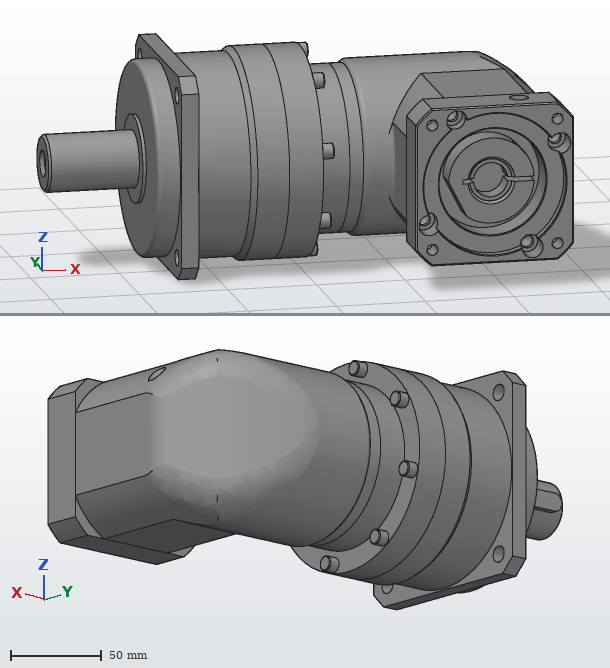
import cadquery as cq
import math


SHAFT_RADIUS = 16.0
SHAFT_CHAMFER = 1.5
SEAL_X = 51.0
SEAL_RADIUS = 24.7
PILOT_X = 53.0
PILOT_RADIUS = 55.0
PILOT_FILLET = 2.5
FLANGE_X = 65.5
FLANGE_THICKNESS = 9.7
FLANGE_WIDTH = 115.3
FLANGE_CHAMFER = 8.3
FLANGE_HOLE_PITCH = 92.0
FLANGE_HOLE_DIAMETER = 9.1
BODY_RADIUS = 56.8
RING_RADIUS = 59.3
RING_TAPER_X = 104.7
RING_TAPER_LENGTH = 3.3
KEY_START_X = 4.7
KEY_LENGTH = 40.7
KEY_WIDTH = 10.3
KEY_TOP = 19.5
CENTRE_HOLE_RADIUS = 5.3
CENTRE_SINK_RADIUS = 7.5
CENTRE_HOLE_DEPTH = 19.5
DRILL_POINT_ANGLE = 118

RING_SPLIT_X = 126.0
RING_END_X = 145.2
NECK_RADIUS = 46.8
NECK_SPLIT_X = 163.0
SCREW_COUNT = 8
SCREW_CIRCLE_RADIUS = 54.5
SCREW_FIRST_ANGLE = 32.5
SCREW_HEAD_RADIUS = 4.3
SCREW_HEAD_HEIGHT = 6.7
SCREW_HEAD_CHAMFER = 0.5

INPUT_X = 232.5
INPUT_HALF_WIDTH = 44.5
ELBOW_RADIUS = 49.0
ELBOW_START_X = 174.3
SHOULDER_FILLET = 4.2
LEG_RADIUS = 50.5
LEG_END_Y = -78.0
CAP_DISTANCE = 30.0
CAP_RADIUS = 133.0
CAP_SHIFT = 2.0
CAP_FILLET = 19.5
JUNCTION_FILLET = 2.5
DIMPLE_RADIUS = 4.7
DIMPLE_OFFSET = 34.4
DIMPLE_Y = -21.5

ADAPTER_END_Y = -101.5
ADAPTER_CORNER_RADIUS = 57.0
ADAPTER_CHAMFER = 0.8
MOTOR_PILOT_RADIUS = 40.2
MOTOR_PILOT_DEPTH = 5.8
ADAPTER_BORE_RADIUS = 30.2
RIM_CHAMFER = 0.5
MOTOR_HOLE_PITCH = 70.7
MOTOR_HOLE_RADIUS = 3.0
MOTOR_HOLE_DEPTH = 13.9
BOLT_COUNT = 4
BOLT_CIRCLE_RADIUS = 42.7
BOLT_FIRST_ANGLE = 30
BOLT_SINK_RADIUS = 5.8
BOLT_SINK_DEPTH = 13.9
SOCKET_RADIUS = 3.5
SOCKET_DEPTH = 3.3
ACCESS_OFFSET = 17.0
ACCESS_Y = -86.2
ACCESS_RADIUS = 5.3

HUB_RADIUS = 24.0
HUB_FACE_Y = -92.5
HUB_BORE_RADIUS = 9.7
HUB_BORE_DEPTH = 13.9
HUB_STEP_RADIUS = 12.0
HUB_STEP_DEPTH = 2.0
HUB_STEP_CHAMFER = 1.5
HUB_NOTCH_END = 16.0
HUB_SLIT_WIDTH = 2.5
HUB_FLAT_DISTANCE = 21.3
HUB_FLAT_ANGLE = 207
CLAMP_SOCKET_RADIUS = 3.5
CLAMP_SOCKET_HEIGHT = 8.3


def x_cylinder(radius, start, end):
    """Cylinder on the output axis between two X positions."""
    return cq.Workplane("YZ", origin=(start, 0, 0)).circle(radius).extrude(end - start)


def y_cylinder(radius, start, end, offset=0, height=0):
    """Cylinder parallel to the input axis, from Y = start down to Y = end."""
    origin = (INPUT_X + offset, start, height)
    return cq.Workplane("XZ", origin=origin).circle(radius).extrude(start - end)


def input_square(corner_radius, start, end):
    """Square block on the input axis with its corners rounded about that axis."""
    block = (
        cq.Workplane("XZ", origin=(INPUT_X, start, 0))
        .rect(2 * INPUT_HALF_WIDTH, 2 * INPUT_HALF_WIDTH)
        .extrude(start - end)
    )
    return block.intersect(y_cylinder(corner_radius, start, end))


def drilled_hole(radius, depth, mouth, direction):
    """Cutter for a blind hole with a conical drill point beyond its full-width depth."""
    along = cq.Vector(*direction)
    point = radius / math.tan(math.radians(DRILL_POINT_ANGLE / 2))
    barrel = cq.Solid.makeCylinder(radius, depth, cq.Vector(*mouth), along)
    tip = cq.Solid.makeCone(radius, 0, point, cq.Vector(*mouth) + along * depth, along)
    return cq.Workplane("XY").add(barrel).union(cq.Workplane("XY").add(tip))


def make_flange():
    return (
        cq.Workplane("YZ", origin=(FLANGE_X, 0, 0))
        .rect(FLANGE_WIDTH, FLANGE_WIDTH)
        .extrude(FLANGE_THICKNESS)
        .edges("|X")
        .chamfer(FLANGE_CHAMFER)
        .faces("<X")
        .workplane()
        .rect(FLANGE_HOLE_PITCH, FLANGE_HOLE_PITCH, forConstruction=True)
        .vertices()
        .hole(FLANGE_HOLE_DIAMETER)
    )


def make_key():
    return (
        cq.Workplane("XZ", origin=(KEY_START_X + KEY_LENGTH / 2, 0, 0))
        .slot2D(KEY_LENGTH, KEY_WIDTH)
        .extrude(-KEY_TOP)
    )


def make_centre_hole():
    sink = cq.Workplane("XY").add(cq.Solid.makeCone(
        CENTRE_SINK_RADIUS,
        CENTRE_HOLE_RADIUS,
        CENTRE_SINK_RADIUS - CENTRE_HOLE_RADIUS,
        dir=cq.Vector(1, 0, 0),
    ))
    return sink.union(drilled_hole(CENTRE_HOLE_RADIUS, CENTRE_HOLE_DEPTH, (0, 0, 0), (1, 0, 0)))


def make_output_stage():
    shaft = x_cylinder(SHAFT_RADIUS, 0, SEAL_X).faces("<X").chamfer(SHAFT_CHAMFER)
    seal = x_cylinder(SEAL_RADIUS, SEAL_X, PILOT_X)
    pilot = x_cylinder(PILOT_RADIUS, PILOT_X, FLANGE_X).faces("<X").edges().fillet(PILOT_FILLET)
    taper_end = RING_TAPER_X + RING_TAPER_LENGTH
    body = (
        cq.Workplane("XY")
        .polyline([
            (FLANGE_X, 0),
            (FLANGE_X, PILOT_RADIUS),
            (FLANGE_X + FLANGE_THICKNESS, PILOT_RADIUS),
            (FLANGE_X + FLANGE_THICKNESS, BODY_RADIUS),
            (RING_TAPER_X, BODY_RADIUS),
            (taper_end, RING_RADIUS),
            (RING_SPLIT_X, RING_RADIUS),
            (RING_SPLIT_X, 0),
        ])
        .close()
        .revolve(360, (0, 0, 0), (1, 0, 0))
    )
    stage = body.union(make_flange()).union(pilot).union(seal).union(shaft).union(make_key())
    return stage.cut(make_centre_hole())


def make_intermediate_ring():
    ring = x_cylinder(RING_RADIUS, RING_SPLIT_X, RING_END_X)
    ring = ring.union(x_cylinder(NECK_RADIUS, RING_END_X, NECK_SPLIT_X))
    heads = (
        cq.Workplane("YZ", origin=(RING_END_X, 0, 0))
        .polarArray(SCREW_CIRCLE_RADIUS, SCREW_FIRST_ANGLE, 360, SCREW_COUNT)
        .circle(SCREW_HEAD_RADIUS)
        .extrude(SCREW_HEAD_HEIGHT)
        .faces(">X")
        .edges()
        .chamfer(SCREW_HEAD_CHAMFER)
    )
    return ring.union(heads)


def make_barrel():
    """Barrel on the output axis, closed at its far end by the leg's rounding."""
    barrel = x_cylinder(ELBOW_RADIUS, ELBOW_START_X, INPUT_X + INPUT_HALF_WIDTH)
    before_leg = x_cylinder(2 * ELBOW_RADIUS, ELBOW_START_X, INPUT_X)
    inside_leg = y_cylinder(LEG_RADIUS, ELBOW_RADIUS, -ELBOW_RADIUS)
    return barrel.intersect(before_leg.union(inside_leg))


def make_shoulder():
    """Neck whose outside swells through an arc up to the barrel."""
    centre_radius = ELBOW_RADIUS - SHOULDER_FILLET
    run = math.sqrt(SHOULDER_FILLET**2 - (NECK_RADIUS - centre_radius) ** 2)
    middle = math.radians(120)
    middle_point = (
        ELBOW_START_X + SHOULDER_FILLET * math.cos(middle),
        centre_radius + SHOULDER_FILLET * math.sin(middle),
    )
    return (
        cq.Workplane("XY")
        .moveTo(NECK_SPLIT_X, 0)
        .lineTo(NECK_SPLIT_X, NECK_RADIUS)
        .lineTo(ELBOW_START_X - run, NECK_RADIUS)
        .threePointArc(middle_point, (ELBOW_START_X, ELBOW_RADIUS))
        .lineTo(ELBOW_START_X, 0)
        .close()
        .revolve(360, (0, 0, 0), (1, 0, 0))
    )


def make_cap_cutter():
    """Everything beyond the slanted cap, an upright cylindrical face that crosses the corner."""
    size = 4 * ELBOW_RADIUS
    slant = cq.Plane(origin=(INPUT_X, 0, -size / 2), xDir=(1, 1, 0), normal=(0, 0, 1))
    outside = cq.Workplane(slant).rect(size, size).extrude(size)
    inside = cq.Workplane(slant).center(CAP_DISTANCE - CAP_RADIUS, CAP_SHIFT).circle(CAP_RADIUS).extrude(size)
    return outside.cut(inside)


def make_dimple():
    """Round-bottomed hole sunk straight down into the leg's rounded corner."""
    low_edge = math.sqrt(LEG_RADIUS**2 - (DIMPLE_OFFSET + DIMPLE_RADIUS) ** 2)
    place = (INPUT_X + DIMPLE_OFFSET, DIMPLE_Y, low_edge)
    bottom = cq.Workplane("XZ", origin=place).sphere(DIMPLE_RADIUS)
    return cq.Workplane("XY", origin=place).circle(DIMPLE_RADIUS).extrude(LEG_RADIUS - low_edge).union(bottom)


def make_elbow():
    elbow = make_barrel().union(input_square(LEG_RADIUS, 0, LEG_END_Y)).clean()
    elbow = elbow.union(make_shoulder()).cut(make_dimple()).cut(make_cap_cutter())
    cap_step = CAP_DISTANCE * math.sqrt(0.5)
    cap = cq.selectors.NearestToPointSelector((INPUT_X + cap_step, cap_step, 0))
    elbow = elbow.faces(cap).edges().fillet(CAP_FILLET)
    inside_corner = cq.selectors.NearestToPointSelector((INPUT_X - INPUT_HALF_WIDTH, -ELBOW_RADIUS, 0))
    return elbow.edges(inside_corner).fillet(JUNCTION_FILLET)


def make_adapter_opening():
    """Stepped opening, bore plus motor pilot, with both rims chamfered."""
    pilot_floor = ADAPTER_END_Y + MOTOR_PILOT_DEPTH
    return (
        cq.Workplane("XY", origin=(INPUT_X, 0, 0))
        .polyline([
            (0, LEG_END_Y),
            (ADAPTER_BORE_RADIUS, LEG_END_Y),
            (ADAPTER_BORE_RADIUS, pilot_floor + RIM_CHAMFER),
            (ADAPTER_BORE_RADIUS + RIM_CHAMFER, pilot_floor),
            (MOTOR_PILOT_RADIUS, pilot_floor),
            (MOTOR_PILOT_RADIUS, ADAPTER_END_Y + RIM_CHAMFER),
            (MOTOR_PILOT_RADIUS + RIM_CHAMFER, ADAPTER_END_Y),
            (0, ADAPTER_END_Y),
        ])
        .close()
        .revolve(360, (0, 0, 0), (0, 1, 0))
    )


def make_adapter():
    adapter = input_square(ADAPTER_CORNER_RADIUS, LEG_END_Y, ADAPTER_END_Y)
    adapter = adapter.faces("<Y").edges().chamfer(ADAPTER_CHAMFER)
    adapter = adapter.cut(make_adapter_opening())
    inward = (0, 1, 0)
    for side in (-1, 1):
        for level in (-1, 1):
            across = INPUT_X + side * MOTOR_HOLE_PITCH / 2
            mouth = (across, ADAPTER_END_Y, level * MOTOR_HOLE_PITCH / 2)
            adapter = adapter.cut(drilled_hole(MOTOR_HOLE_RADIUS, MOTOR_HOLE_DEPTH, mouth, inward))
    head_y = ADAPTER_END_Y + BOLT_SINK_DEPTH
    for index in range(BOLT_COUNT):
        angle = math.radians(BOLT_FIRST_ANGLE + index * 360 / BOLT_COUNT)
        across = BOLT_CIRCLE_RADIUS * math.cos(angle)
        up = BOLT_CIRCLE_RADIUS * math.sin(angle)
        adapter = adapter.cut(y_cylinder(BOLT_SINK_RADIUS, head_y, ADAPTER_END_Y, across, up))
        mouth = (INPUT_X + across, head_y, up)
        adapter = adapter.cut(drilled_hole(SOCKET_RADIUS, SOCKET_DEPTH, mouth, inward))
    access = (
        cq.Workplane("XY", origin=(INPUT_X + ACCESS_OFFSET, ACCESS_Y, 0))
        .circle(ACCESS_RADIUS)
        .extrude(INPUT_HALF_WIDTH)
    )
    return adapter.cut(access)


def make_hub_bore():
    step_floor = HUB_FACE_Y + HUB_STEP_DEPTH
    bore_floor = HUB_FACE_Y + HUB_BORE_DEPTH
    return (
        cq.Workplane("XY", origin=(INPUT_X, 0, 0))
        .polyline([
            (0, HUB_FACE_Y),
            (HUB_STEP_RADIUS + HUB_STEP_CHAMFER, HUB_FACE_Y),
            (HUB_STEP_RADIUS, HUB_FACE_Y + HUB_STEP_CHAMFER),
            (HUB_STEP_RADIUS, step_floor),
            (HUB_BORE_RADIUS, step_floor),
            (HUB_BORE_RADIUS, bore_floor),
            (0, bore_floor),
        ])
        .close()
        .revolve(360, (0, 0, 0), (0, 1, 0))
    )


def make_hub_slit():
    """Slit from a notch on one side of the bore, across it and out through the other side."""
    length = HUB_NOTCH_END + HUB_RADIUS
    return cq.Workplane("XY").box(length, HUB_BORE_DEPTH, HUB_SLIT_WIDTH).translate(
        (INPUT_X - HUB_NOTCH_END + length / 2, HUB_FACE_Y + HUB_BORE_DEPTH / 2, 0)
    )


def make_hub_flat():
    """Block beyond the flat on the hub's outside."""
    width = 2 * HUB_RADIUS
    return (
        cq.Workplane("XZ", origin=(HUB_FLAT_DISTANCE + HUB_RADIUS, LEG_END_Y, 0))
        .rect(width, width)
        .extrude(LEG_END_Y - HUB_FACE_Y)
        .rotate((0, 0, 0), (0, 1, 0), -HUB_FLAT_ANGLE)
        .translate((INPUT_X, 0, 0))
    )


def make_hub():
    hub = y_cylinder(HUB_RADIUS, LEG_END_Y, HUB_FACE_Y)
    hub = hub.cut(make_hub_bore()).cut(make_hub_slit()).cut(make_hub_flat())
    mouth = (INPUT_X + ACCESS_OFFSET, ACCESS_Y, HUB_RADIUS)
    socket_depth = HUB_RADIUS - CLAMP_SOCKET_HEIGHT
    return hub.cut(drilled_hole(CLAMP_SOCKET_RADIUS, socket_depth, mouth, (0, 0, -1)))


output_stage = make_output_stage()
intermediate_ring = make_intermediate_ring()
elbow = make_elbow()
adapter = make_adapter()
hub = make_hub()

result = cq.Compound.makeCompound([
    output_stage.val(),
    intermediate_ring.val(),
    elbow.val(),
    adapter.val(),
    hub.val(),
])